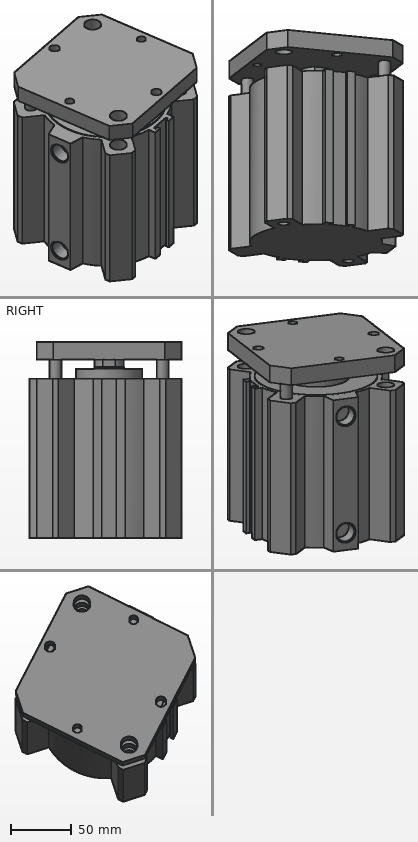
import cadquery as cq
import math

HEIGHT = 162.5
WIDTH = 120.0
PORT_FACE_Y = -66.0
HOUSING_HEIGHT = 132.1
SIDE = WIDTH / 2

BARREL_RADIUS = 55.0
POST_CORNER_CHAMFER = 13.2
POST_FLAT = 4.7
PORT_RIB_TIP_HALF_WIDTH = 11.0
PORT_RIB_BASE_HALF_WIDTH = 14.3

RAIL_FACE_X = 59.8
RAIL_HALF_WIDTH = 13.2
SLOT_FLOOR_X = 55.2
SLOT_MOUTH_HALF_WIDTH = 6.0
SLOT_HALF_WIDTH = 8.6
SLOT_LIP = 3.0

COVER_RADIUS = 50.9
COVER_RECESS = 0.8
COLLAR_RADIUS = 27.6
COLLAR_RISE = 8.0

PORT_END_DISTANCE = 15.3
PORT_RADIUS = 7.8
PORT_CHAMFER = 1.0
PORT_DEPTH = 13.0

CORNER_OFFSET = 44.4
MOUNT_HOLE_RADIUS = 4.7
ACCESS_RADIUS = 7.0
COUNTERBORE_DEPTH = 14.6

PLATE_THICKNESS = 14.8
PLATE_CHAMFER = 13.8
GUIDE_RADIUS = 5.0
ROD_RADIUS = 12.2
ROD_ACROSS_FLATS = 22.1
SHOULDER_RADIUS = 12.5
SHOULDER_HEIGHT = 2.0
SHOULDER_CHAMFER = 0.6
PLATE_HOLE_OFFSET = 51.5
X_HOLE_RADIUS = 4.4
Y_HOLE_RADIUS = 3.7

PLATE_BOTTOM = HEIGHT - PLATE_THICKNESS
COLLAR_TOP = HOUSING_HEIGHT + COLLAR_RISE
SHOULDER_TOP = COLLAR_TOP + SHOULDER_HEIGHT
GUIDE_CORNERS = [(-CORNER_OFFSET, -CORNER_OFFSET), (CORNER_OFFSET, CORNER_OFFSET)]
MOUNT_CORNERS = [(-CORNER_OFFSET, CORNER_OFFSET), (CORNER_OFFSET, -CORNER_OFFSET)]


def cylinder(radius, bottom, top, points):
    """Upright cylinders from one height to another at the given points."""
    return cq.Workplane("XY", origin=(0, 0, bottom)).pushPoints(points).circle(radius).extrude(top - bottom)


def make_post():
    """Bar along the diagonal towards the +X +Y corner, with that corner cut off."""
    corner = SIDE - POST_CORNER_CHAMFER
    inner = corner - POST_FLAT
    return (
        cq.Workplane("XY")
        .polyline(
            [
                (SIDE - inner, 0),
                (SIDE, inner),
                (SIDE, corner),
                (corner, SIDE),
                (inner, SIDE),
                (0, SIDE - inner),
            ]
        )
        .close()
        .extrude(HOUSING_HEIGHT)
    )


def make_port_rib():
    """Rib of trapezoidal section that carries the air ports."""
    base_y = -math.sqrt(BARREL_RADIUS**2 - PORT_RIB_BASE_HALF_WIDTH**2)
    return (
        cq.Workplane("XY")
        .polyline(
            [
                (-PORT_RIB_BASE_HALF_WIDTH, 0),
                (-PORT_RIB_BASE_HALF_WIDTH, base_y),
                (-PORT_RIB_TIP_HALF_WIDTH, PORT_FACE_Y),
                (PORT_RIB_TIP_HALF_WIDTH, PORT_FACE_Y),
                (PORT_RIB_BASE_HALF_WIDTH, base_y),
                (PORT_RIB_BASE_HALF_WIDTH, 0),
            ]
        )
        .close()
        .extrude(HOUSING_HEIGHT)
    )


def block(x_from, x_to, half_width):
    """Full-height block between two X positions, centred on Y = 0."""
    return (
        cq.Workplane("XY")
        .center((x_from + x_to) / 2, 0)
        .rect(x_to - x_from, 2 * half_width)
        .extrude(HOUSING_HEIGHT)
    )


def make_air_port(z):
    """Chamfered blind port drilled from the port rib face towards the axis."""
    face = cq.Workplane("XZ", origin=(0, PORT_FACE_Y, z))
    bore = face.circle(PORT_RADIUS).extrude(-PORT_DEPTH)
    mouth = cq.Solid.makeCone(
        PORT_RADIUS + PORT_CHAMFER,
        PORT_RADIUS,
        PORT_CHAMFER,
        pnt=cq.Vector(0, PORT_FACE_Y, z),
        dir=cq.Vector(0, 1, 0),
    )
    return bore.union(cq.Workplane(mouth))


def make_housing():
    housing = cylinder(BARREL_RADIUS, 0, HOUSING_HEIGHT, [(0, 0)]).union(make_port_rib())
    for turn in range(4):
        housing = housing.union(make_post().rotate((0, 0, 0), (0, 0, 1), 90 * turn))

    rail = block(0, RAIL_FACE_X, RAIL_HALF_WIDTH)
    slot = block(SLOT_FLOOR_X, RAIL_FACE_X - SLOT_LIP, SLOT_HALF_WIDTH)
    slot = slot.union(block(SLOT_FLOOR_X, RAIL_FACE_X, SLOT_MOUTH_HALF_WIDTH))
    for turn in (0, 180):
        housing = housing.union(rail.rotate((0, 0, 0), (0, 0, 1), turn))
        housing = housing.cut(slot.rotate((0, 0, 0), (0, 0, 1), turn))

    recess_floor = HOUSING_HEIGHT - COVER_RECESS
    housing = housing.cut(cylinder(COVER_RADIUS, recess_floor, HOUSING_HEIGHT, [(0, 0)]))
    housing = housing.union(cylinder(COLLAR_RADIUS, recess_floor, COLLAR_TOP, [(0, 0)]))

    for z in (PORT_END_DISTANCE, HOUSING_HEIGHT - PORT_END_DISTANCE):
        housing = housing.cut(make_air_port(z))

    housing = housing.cut(cylinder(MOUNT_HOLE_RADIUS, 0, HOUSING_HEIGHT, MOUNT_CORNERS))
    counterbore_floor = HOUSING_HEIGHT - COUNTERBORE_DEPTH
    return housing.cut(cylinder(ACCESS_RADIUS, counterbore_floor, HOUSING_HEIGHT, MOUNT_CORNERS))


def make_moving_plate():
    """Plate with its piston rod and two guide rods, which end on the housing."""
    plate = (
        cq.Workplane("XY", origin=(0, 0, PLATE_BOTTOM))
        .rect(WIDTH, WIDTH)
        .extrude(PLATE_THICKNESS)
        .edges("|Z")
        .chamfer(PLATE_CHAMFER)
    )
    x_holes = [(-PLATE_HOLE_OFFSET, 0), (PLATE_HOLE_OFFSET, 0)]
    y_holes = [(0, -PLATE_HOLE_OFFSET), (0, PLATE_HOLE_OFFSET)]
    plate = plate.cut(cylinder(X_HOLE_RADIUS, PLATE_BOTTOM, HEIGHT, x_holes))
    plate = plate.cut(cylinder(Y_HOLE_RADIUS, PLATE_BOTTOM, HEIGHT, y_holes))
    plate = plate.cut(cylinder(ACCESS_RADIUS, PLATE_BOTTOM, HEIGHT, MOUNT_CORNERS))

    flats = (
        cq.Workplane("XY", origin=(0, 0, SHOULDER_TOP))
        .rect(ROD_ACROSS_FLATS, 2 * ROD_RADIUS)
        .extrude(PLATE_BOTTOM - SHOULDER_TOP)
    )
    piston_rod = cylinder(ROD_RADIUS, SHOULDER_TOP, PLATE_BOTTOM, [(0, 0)]).intersect(flats)
    shoulder = cylinder(SHOULDER_RADIUS, COLLAR_TOP, SHOULDER_TOP, [(0, 0)])
    piston_rod = piston_rod.union(shoulder.faces(">Z").chamfer(SHOULDER_CHAMFER))
    guide_rods = cylinder(GUIDE_RADIUS, HOUSING_HEIGHT, PLATE_BOTTOM, GUIDE_CORNERS)
    return plate.union(piston_rod).union(guide_rods)


housing = make_housing()
moving_plate = make_moving_plate()
result = cq.Compound.makeCompound([housing.val(), moving_plate.val()])